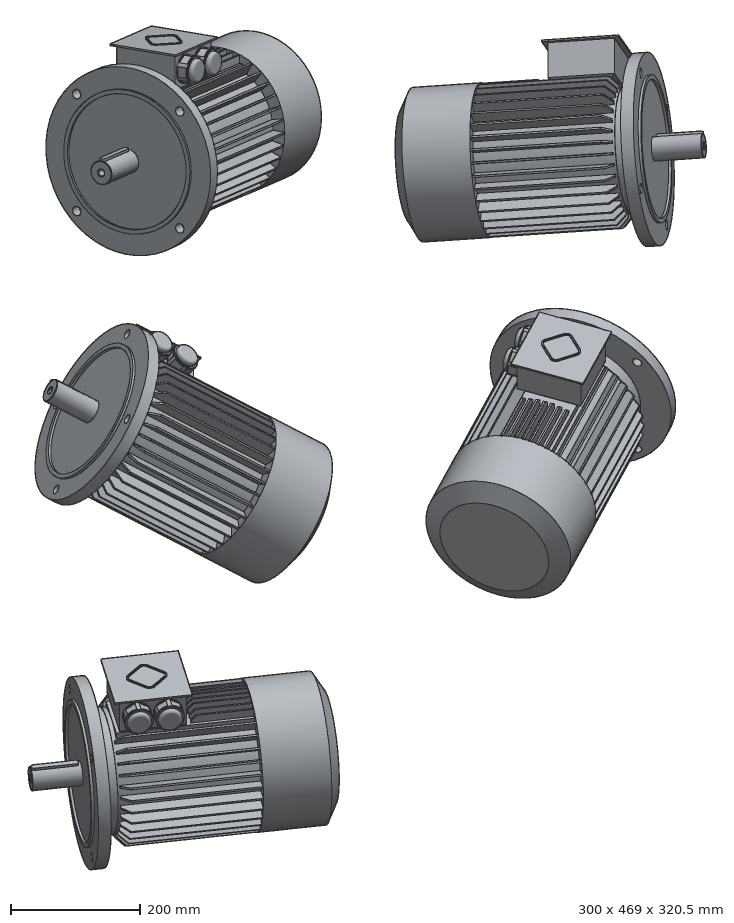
import cadquery as cq
import math


SPIGOT_FRONT = 75.0
FLANGE_FRONT = 79.3
FLANGE_BACK = 99.5
COLLAR_BACK = 119.5
FIN_FRONT = 123.5
COWL_FRONT = 344.2
COWL_CONE_START = 451.5
MOTOR_BACK = 469.0

SHAFT_DIA = 38.0
SPIGOT_DIA = 230.0
SPIGOT_RECESS_DIA = 216.0
FLANGE_DIA = 300.0
COLLAR_DIA = 200.0
BODY_DIA = 197.0
COWL_DIA = 240.0
COWL_BACK_DIA = 180.0

SHAFT_CHAMFER = 1.0
CENTER_HOLE_DIA = 10.5
CENTER_HOLE_MOUTH_DIA = 13.0
CENTER_HOLE_DEPTH = 28.0
CENTER_HOLE_TIP_ANGLE = 118.0
KEY_WIDTH = 10.0
KEY_TOP = 22.5
KEY_FRONT = 1.0
KEY_BACK = 76.0

BOLT_HOLE_DIA = 15.0
BOLT_HOLE_PITCH = 187.5

FIN_THICKNESS = 3.0
FIN_TIP_RADIUS = 119.5
FIN_SLOPE_LENGTH = 14.0
FIN_SLOPE_DROP = 15.0
FIN_STEP_ANGLE = 10
FIRST_FIN_ANGLE = 120
LAST_FIN_ANGLE = 420

TOP_FIN_SPAN = 72.0
TOP_FIN_COUNT = 7
TOP_FIN_HEIGHT = 118.5
TOP_FIN_HEIGHT_STEP = 3.0
TOP_FIN_FRONT = 245.5
TOP_FIN_SLOPE = 9.5

BOX_CENTER_Y = 183.0
BOX_LENGTH_X = 106.0
BOX_LENGTH_Y = 105.0
BOX_TAPER = 10.0
PAD_TOP = 100.0
PAD_FRONT = 127.0
LID_LENGTH_X = 120.0
LID_LENGTH_Y = 122.0
LID_BOTTOM = 166.5
LID_TOP = 169.5
BADGE_TOP = 170.5
BADGE_SIDE = 50.5
BADGE_CORNER_RADIUS = 10.0
BADGE_RIM = 3.0

GLAND_MIDDLE_Y = 182.0
GLAND_SPACING = 49.0
GLAND_CENTER_Z = 138.0
GLAND_NUT_DIA = 45.5
GLAND_NUT_FLATS = 42.0
GLAND_NUT_LENGTH = 19.5
GLAND_NUT_RIM = 2.5
GLAND_NUT_CHAMFER = 1.0
GLAND_CAP_DIA = 38.0
GLAND_CAP_LENGTH = 8.5
GLAND_CAP_FILLET = 4.5

OVERLAP = 2.5


def box_between(x_range, y_range, z_range):
    """Axis-aligned box given by its limits."""
    return cq.Workplane("XY").box(
        x_range[1] - x_range[0],
        y_range[1] - y_range[0],
        z_range[1] - z_range[0],
        centered=False,
    ).translate((x_range[0], y_range[0], z_range[0]))


def make_turned_core():
    """Shaft, spigot, flange, collar, stator body and cowl as one revolved profile."""
    shaft_radius = SHAFT_DIA / 2
    profile = [
        (0, 0),
        (shaft_radius - SHAFT_CHAMFER, 0),
        (shaft_radius, SHAFT_CHAMFER),
        (shaft_radius, FLANGE_FRONT),
        (SPIGOT_RECESS_DIA / 2, FLANGE_FRONT),
        (SPIGOT_RECESS_DIA / 2, SPIGOT_FRONT),
        (SPIGOT_DIA / 2, SPIGOT_FRONT),
        (SPIGOT_DIA / 2, FLANGE_FRONT),
        (FLANGE_DIA / 2, FLANGE_FRONT),
        (FLANGE_DIA / 2, FLANGE_BACK),
        (COLLAR_DIA / 2, FLANGE_BACK),
        (COLLAR_DIA / 2, COLLAR_BACK),
        (BODY_DIA / 2, COLLAR_BACK),
        (BODY_DIA / 2, COWL_FRONT),
        (COWL_DIA / 2, COWL_FRONT),
        (COWL_DIA / 2, COWL_CONE_START),
        (COWL_BACK_DIA / 2, MOTOR_BACK),
        (0, MOTOR_BACK),
    ]
    return cq.Workplane("XY").polyline(profile).close().revolve(360, (0, 0), (0, 1))


def make_center_hole():
    """Drilled hole with a countersunk mouth and a conical tip in the shaft end."""
    hole_radius = CENTER_HOLE_DIA / 2
    mouth_radius = CENTER_HOLE_MOUTH_DIA / 2
    tip_length = hole_radius / math.tan(math.radians(CENTER_HOLE_TIP_ANGLE / 2))
    profile = [
        (0, 0),
        (mouth_radius, 0),
        (hole_radius, mouth_radius - hole_radius),
        (hole_radius, CENTER_HOLE_DEPTH),
        (0, CENTER_HOLE_DEPTH + tip_length),
    ]
    return cq.Workplane("XY").polyline(profile).close().revolve(360, (0, 0), (0, 1))


def make_key():
    """Parallel key on top of the shaft with both ends rounded."""
    return (
        cq.Workplane("XY")
        .center(0, (KEY_FRONT + KEY_BACK) / 2)
        .slot2D(KEY_BACK - KEY_FRONT, KEY_WIDTH, 90)
        .extrude(KEY_TOP)
    )


def make_bolt_holes():
    """Four pins that cut the flange bolt holes."""
    return (
        cq.Workplane("XZ", origin=(0, FLANGE_FRONT, 0))
        .rect(BOLT_HOLE_PITCH, BOLT_HOLE_PITCH, forConstruction=True)
        .vertices()
        .circle(BOLT_HOLE_DIA / 2)
        .extrude(FLANGE_FRONT - FLANGE_BACK)
    )


def make_fin(root, tip, front, slope_length, slope_drop):
    """Upright fin in the YZ plane with a sloping front shoulder."""
    profile = [
        (front, root),
        (front, tip - slope_drop),
        (front + slope_length, tip),
        (COWL_FRONT + OVERLAP, tip),
        (COWL_FRONT + OVERLAP, root),
    ]
    return cq.Workplane("YZ").polyline(profile).close().extrude(FIN_THICKNESS / 2, both=True)


def add_radial_fins(part):
    """Fins all round the body except under the terminal box."""
    fin = make_fin(
        BODY_DIA / 2 - OVERLAP, FIN_TIP_RADIUS, FIN_FRONT, FIN_SLOPE_LENGTH, FIN_SLOPE_DROP
    )
    for angle in range(FIRST_FIN_ANGLE, LAST_FIN_ANGLE + 1, FIN_STEP_ANGLE):
        tilt_from_top = 90 - angle
        part = part.union(fin.rotate((0, 0, 0), (0, 1, 0), tilt_from_top))
    return part


def add_top_fins(part):
    """Parallel fins on the pad; the outer ones get lower in equal steps."""
    pitch = TOP_FIN_SPAN / (TOP_FIN_COUNT - 1)
    middle = TOP_FIN_COUNT // 2
    for index in range(-middle, middle + 1):
        steps_down = max(abs(index) - 1, 0)
        height = TOP_FIN_HEIGHT - steps_down * TOP_FIN_HEIGHT_STEP
        fin = make_fin(PAD_TOP - OVERLAP, height, TOP_FIN_FRONT, TOP_FIN_SLOPE, TOP_FIN_SLOPE)
        part = part.union(fin.translate((index * pitch, 0, 0)))
    return part


def make_pad():
    """Flat seat for the terminal box and the upright fins."""
    half_width = BOX_LENGTH_X / 2 - BOX_TAPER
    return box_between(
        (-half_width, half_width), (PAD_FRONT, COWL_FRONT + OVERLAP), (0, PAD_TOP)
    )


def make_badge_rim():
    """Raised rounded-square rim standing on one corner, centred on the lid."""
    def rounded_square(side, corner_radius):
        return (
            cq.Workplane("XY")
            .rect(side, side)
            .extrude(BADGE_TOP - LID_TOP)
            .edges("|Z")
            .fillet(corner_radius)
        )

    outer = rounded_square(BADGE_SIDE, BADGE_CORNER_RADIUS)
    inner = rounded_square(BADGE_SIDE - 2 * BADGE_RIM, BADGE_CORNER_RADIUS - BADGE_RIM)
    rim = outer.cut(inner).rotate((0, 0, 0), (0, 0, 1), 45)
    return rim.translate((0, BOX_CENTER_Y, LID_TOP))


def make_terminal_box():
    """Box with a tapered foot, an overhanging lid and a raised badge rim."""
    wall_bottom = PAD_TOP + BOX_TAPER
    center = (0, BOX_CENTER_Y)
    walls = (
        cq.Workplane("XY", origin=(*center, wall_bottom))
        .rect(BOX_LENGTH_X, BOX_LENGTH_Y)
        .extrude(LID_BOTTOM - wall_bottom)
    )
    foot = (
        cq.Workplane("XY", origin=(*center, wall_bottom))
        .rect(BOX_LENGTH_X, BOX_LENGTH_Y)
        .workplane(offset=-BOX_TAPER)
        .rect(BOX_LENGTH_X - 2 * BOX_TAPER, BOX_LENGTH_Y - 2 * BOX_TAPER)
        .loft(ruled=True)
    )
    lid = (
        cq.Workplane("XY", origin=(*center, LID_BOTTOM))
        .rect(LID_LENGTH_X, LID_LENGTH_Y)
        .extrude(LID_TOP - LID_BOTTOM)
    )
    return walls.union(foot).union(lid).union(make_badge_rim())


def make_gland(center_y):
    """Round nut with six milled flats and a rounded cap, pointing along +X."""
    wall_x = BOX_LENGTH_X / 2
    start = cq.Workplane("YZ", origin=(wall_x, center_y, GLAND_CENTER_Z))
    nut = (
        start.circle(GLAND_NUT_DIA / 2)
        .extrude(GLAND_NUT_LENGTH)
        .faces(">X")
        .edges()
        .chamfer(GLAND_NUT_CHAMFER)
    )
    flats_start = start.workplane(offset=GLAND_NUT_RIM)
    flats_length = GLAND_NUT_LENGTH - 2 * GLAND_NUT_RIM
    hexagon = (
        flats_start.polygon(6, GLAND_NUT_FLATS, circumscribed=True)
        .extrude(flats_length)
    )
    trimmings = flats_start.circle(GLAND_NUT_DIA).extrude(flats_length).cut(hexagon)
    cap = (
        start.workplane(offset=GLAND_NUT_LENGTH)
        .circle(GLAND_CAP_DIA / 2)
        .extrude(GLAND_CAP_LENGTH)
        .faces(">X")
        .edges()
        .fillet(GLAND_CAP_FILLET)
    )
    return nut.cut(trimmings).union(cap)


result = make_turned_core().union(make_key())
result = result.cut(make_center_hole()).cut(make_bolt_holes())
result = add_radial_fins(result)
result = result.union(make_pad())
result = add_top_fins(result)
result = result.union(make_terminal_box())
for side in (-1, 1):
    result = result.union(make_gland(GLAND_MIDDLE_Y + side * GLAND_SPACING / 2))